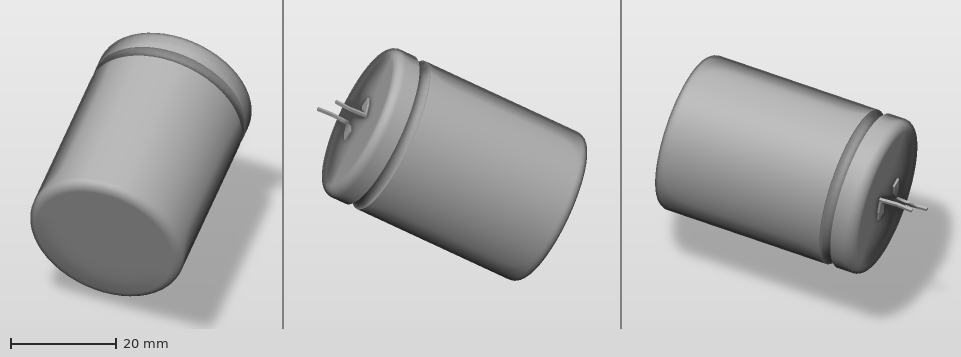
import cadquery as cq

overall_length = 48.8
can_radius = 15.49
terminal_height = 6.8
can_length = overall_length - terminal_height
rim_radius = 1.8

groove_radius = 1.15
groove_to_terminal_end = 6.05

pin_offset = 3.535
pin_width = 0.6
pin_bow = 0.3

base_width = 2.2
base_height = 0.45


def make_can():
    """Cylinder with rounded rims and a crimp groove near the terminal end."""
    can = (
        cq.Workplane("XZ")
        .circle(can_radius)
        .extrude(-can_length)
        .faces("<Y or >Y")
        .edges()
        .fillet(rim_radius)
    )
    groove_y = can_length - groove_to_terminal_end
    groove = (
        cq.Workplane("XY")
        .center(can_radius, groove_y)
        .circle(groove_radius)
        .revolve(360, (-can_radius, 0), (-can_radius, 1))
    )
    return can.cut(groove)


def make_base():
    """Flat base of the +X, +Z terminal, standing on the terminal end."""
    half_base = base_width / 2
    half_pin = pin_width / 2
    tip_z = pin_offset - half_pin
    return (
        cq.Workplane("XZ", origin=(pin_offset, can_length, 0))
        .polyline([
            (-half_base, -half_base),
            (half_base, -half_base),
            (half_base, half_base),
            (half_pin, tip_z),
            (-half_pin, tip_z),
            (-half_base, half_base),
        ])
        .close()
        .extrude(-base_height)
    )


def make_pin():
    """Pin of the +X, +Z terminal, bent outward at the middle of its free length."""
    root_y = can_length
    bend_start_y = can_length + base_height
    peak_y = (bend_start_y + overall_length) / 2
    inner_z = pin_offset - pin_width / 2
    outer_z = pin_offset + pin_width / 2
    return (
        cq.Workplane("YZ", origin=(pin_offset, 0, 0))
        .polyline([
            (root_y, inner_z),
            (bend_start_y, inner_z),
            (peak_y, inner_z + pin_bow),
            (overall_length, inner_z),
            (overall_length, outer_z),
            (peak_y, outer_z + pin_bow),
            (bend_start_y, outer_z),
            (root_y, outer_z),
        ])
        .close()
        .extrude(pin_width / 2, both=True)
    )


terminal = make_base().union(make_pin())
result = make_can()
for angle in (0, 180):
    result = result.union(terminal.rotate((0, 0, 0), (0, 1, 0), angle))